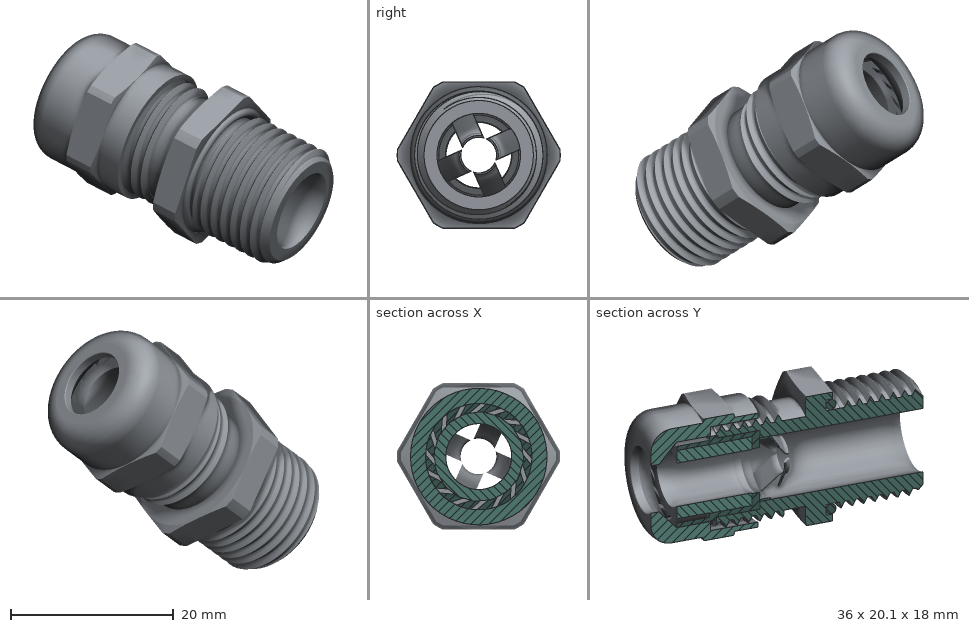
import cadquery as cq
import math


total_length = 35.95
thread_rise = 9.0
thread_pitch = thread_rise / 6
thread_half_angle = 30.0
thread_crest_width = 0.05
thread_root_sink = 0.1
thread_margin = 2.0

nut_length = 14.17
nut_diameter = 16.85
dome_radius = 2.77
nut_hex_start = 6.85
nut_hex_length = 4.28
nut_hex_flats = 17.0
nut_hex_corners = 19.1
nut_hex_bevel = 0.32
lip_diameter = 8.5
lip_length = 1.15
lip_chamfer = 0.07
nut_thread_start = 7.9

body_front = 8.63
front_neck_diameter = 13.65
front_crest_diameter = 15.4
front_thread_end = 17.65
front_thread_phase = 15.25
hex_start = 20.43
hex_length = 3.6
hex_end = hex_start + hex_length
hex_flats = 18.0
hex_corners = 20.05
hex_bevel = 0.25
rear_neck_diameter = 14.2
rear_crest_diameter = 15.8
rear_thread_start = 24.95
rear_thread_phase = 25.95
rear_end_diameter = 13.45
rear_bore_diameter = 10.3

cage_front = 3.4
cage_back = 14.4
cage_diameter = 12.2
cage_head_diameter = lip_diameter + 2 * (cage_front - lip_length)
cage_shoulder_diameter = 8.2
cage_shoulder_length = 1.08
slit_count = 16
slit_width = 0.5
slit_length = 4.3
slit_reach = 4.3
slit_slant = 50.0
seal_diameter = 10.93
seal_bore_diameter = 8.05
seal_back = cage_back - cage_shoulder_length

spring_sheet = 0.2
spring_ring_length = 1.45
tongue_count = 4
tongue_width = 2.85
tongue_slope = 51.0
tongue_turn = 24.0
tongue_bend_radius = 2.55
tongue_tip_radius = 2.2

o_ring_diameter = nut_diameter
o_ring_section = (o_ring_diameter - rear_neck_diameter) / 2
o_ring_end = 24.5
o_ring_centre = o_ring_end - o_ring_section / 2
groove_start = o_ring_end - o_ring_section


def revolve_about_x(outline):
    """Solid of revolution about the X axis from a closed outline of (x, radius)."""
    return outline.close().revolve(360, (0, 0, 0), (1, 0, 0))


def turned(points):
    """Solid of revolution about the X axis from straight-sided (x, radius) points."""
    return revolve_about_x(cq.Workplane("XY").polyline(points))


def rod(start, end, diameter):
    """Cylinder along X from start to end."""
    return cq.Workplane("YZ").workplane(offset=start).circle(diameter / 2).extrude(end - start)


def tube(start, end, outer_diameter, inner_diameter):
    """Hollow cylinder along X from start to end."""
    return rod(start, end, outer_diameter).cut(rod(start, end, inner_diameter))


def hexagon(start, end, flats, corners, bevel, bevel_root, bevel_both_ends):
    """Hexagonal prism with flats at +Z and -Z, rounded corners and conical end bevels."""
    tip_diameter = flats / math.cos(math.pi / 6)
    prism = cq.Workplane("YZ").workplane(offset=start).polygon(6, tip_diameter).extrude(end - start)
    envelope = [(start, 0), (start, bevel_root / 2), (start + bevel, corners / 2)]
    if bevel_both_ends:
        envelope += [(end - bevel, corners / 2), (end, bevel_root / 2), (end, 0)]
    else:
        envelope += [(end, corners / 2), (end, 0)]
    return prism.intersect(turned(envelope))


def helix(radius, axial_offset, height):
    """Right-handed helix about +Z whose first point lies on +X."""
    return cq.Wire.makeHelix(thread_pitch, height, radius).translate(cq.Vector(0, 0, axial_offset))


def thread_rib(start, end, root_diameter, crest_diameter, phase):
    """Right-handed helical rib along X, wider at its foot, running past start and end."""
    root = root_diameter / 2 - thread_root_sink
    crest = crest_diameter / 2
    half_crest = thread_crest_width / 2
    half_foot = half_crest + (crest - root) * math.tan(math.radians(thread_half_angle))
    first = phase - math.ceil((phase - start) / thread_pitch + thread_margin) * thread_pitch
    height = end + thread_margin * thread_pitch - first

    corners = [(root, -half_foot), (root, half_foot), (crest, half_crest), (crest, -half_crest)]
    rails = [helix(radius, offset, height) for radius, offset in corners]
    sides = []
    for rail, next_rail in zip(rails, rails[1:] + rails[:1]):
        sides += cq.Face.makeRuledSurface(rail, next_rail).Faces()
    ends = []
    for point_of in (cq.Wire.startPoint, cq.Wire.endPoint):
        outline = cq.Wire.makePolygon([point_of(rail) for rail in rails], close=True)
        ends.append(cq.Face.makeFromWires(outline))
    rib = cq.Workplane(obj=cq.Solid.makeSolid(cq.Shell.makeShell(sides + ends)))

    rib = rib.rotate((0, 0, 0), (0, 1, 0), 90).rotate((0, 0, 0), (1, 0, 0), 180)
    return rib.translate((first, 0, 0))


def make_nut():
    dome = revolve_about_x(
        cq.Workplane("XY")
        .moveTo(0, 0)
        .lineTo(0, nut_diameter / 2 - dome_radius)
        .radiusArc((dome_radius, nut_diameter / 2), dome_radius)
        .lineTo(nut_length, nut_diameter / 2)
        .lineTo(nut_length, 0)
    )
    grip = hexagon(
        nut_hex_start, nut_hex_start + nut_hex_length, nut_hex_flats, nut_hex_corners,
        nut_hex_bevel, nut_diameter, True,
    )
    cavity = turned([
        (0, 0),
        (0, lip_diameter / 2 + lip_chamfer),
        (lip_chamfer, lip_diameter / 2),
        (lip_length, lip_diameter / 2),
        (cage_front, cage_head_diameter / 2),
        (nut_thread_start, cage_head_diameter / 2),
        (nut_thread_start, front_crest_diameter / 2),
        (nut_length, front_crest_diameter / 2),
        (nut_length, 0),
    ])
    return dome.union(grip).cut(cavity)


def make_front_neck():
    """Neck from the body's front end to the hexagon, with the thread that takes the nut."""
    rib = thread_rib(
        body_front, front_thread_end, front_neck_diameter, front_crest_diameter, front_thread_phase
    )
    neck = rod(body_front, hex_start, front_neck_diameter)
    return neck.union(rib.intersect(rod(body_front, front_thread_end, hex_corners)))


def make_rear_neck():
    """Neck from the hexagon to the rear end, with the connection thread and its lead-in."""
    rib = thread_rib(
        rear_thread_start, total_length, rear_neck_diameter, rear_crest_diameter, rear_thread_phase
    )
    neck = rod(hex_end, total_length, rear_neck_diameter)
    neck = neck.union(rib.intersect(rod(rear_thread_start, total_length, hex_corners)))
    lead_in = (hex_corners - rear_end_diameter) / 2
    lead_in_ring = turned([
        (total_length, rear_end_diameter / 2),
        (total_length, hex_corners / 2),
        (total_length - lead_in, hex_corners / 2),
    ])
    return neck.cut(lead_in_ring)


def make_body():
    grip = hexagon(hex_start, hex_end, hex_flats, hex_corners, hex_bevel, hex_flats, False)
    o_ring_groove = tube(groove_start, hex_end, o_ring_diameter, rear_neck_diameter)
    outside = grip.cut(o_ring_groove).union(make_front_neck()).union(make_rear_neck())
    cage_seat = rod(body_front, cage_back, cage_diameter)
    rear_bore = rod(cage_back, total_length, rear_bore_diameter)
    return outside.cut(cage_seat).cut(rear_bore)


def make_cage():
    head = tube(cage_front, body_front, cage_head_diameter, seal_diameter)
    sleeve = tube(body_front, seal_back, cage_diameter, seal_diameter)
    shoulder = tube(seal_back, cage_back, cage_diameter, cage_shoulder_diameter)
    cage = head.union(sleeve).union(shoulder)
    wall_middle = (cage_head_diameter + seal_diameter) / 4
    slit = (
        cq.Workplane("XY")
        .box(slit_length, slit_width, slit_reach, centered=(False, True, True))
        .rotate((0, 0, 0), (1, 0, 0), slit_slant)
        .translate((cage_front, 0, wall_middle))
    )
    for i in range(slit_count):
        cage = cage.cut(slit.rotate((0, 0, 0), (1, 0, 0), i * 360 / slit_count))
    return cage


def make_seal():
    return tube(cage_front, seal_back, seal_diameter, seal_bore_diameter)


def make_spring():
    ring_end = cage_back + spring_ring_length
    ring_inner_diameter = rear_bore_diameter - 2 * spring_sheet
    ring = tube(cage_back, ring_end, rear_bore_diameter, ring_inner_diameter)

    slope = math.radians(tongue_slope)
    curl_radius = (tongue_bend_radius - tongue_tip_radius) / (1 - math.cos(slope))
    bend_x = ring_end + (ring_inner_diameter / 2 - tongue_bend_radius) / math.tan(slope)
    tip_x = bend_x + curl_radius * math.sin(slope)
    back_curl_radius = curl_radius - spring_sheet
    back_bend_x = tip_x - back_curl_radius * math.sin(slope)
    back_bend_radius = tongue_tip_radius + curl_radius - back_curl_radius * math.cos(slope)
    back_start_x = back_bend_x - (rear_bore_diameter / 2 - back_bend_radius) / math.tan(slope)
    funnel = revolve_about_x(
        cq.Workplane("XY")
        .moveTo(ring_end, ring_inner_diameter / 2)
        .lineTo(bend_x, tongue_bend_radius)
        .radiusArc((tip_x, tongue_tip_radius), -curl_radius)
        .lineTo(tip_x, tongue_tip_radius + spring_sheet)
        .radiusArc((back_bend_x, back_bend_radius), back_curl_radius)
        .lineTo(back_start_x, rear_bore_diameter / 2)
        .lineTo(ring_end, rear_bore_diameter / 2)
    )
    strip = cq.Workplane("XY").box(
        total_length, tongue_width, rear_bore_diameter, centered=(False, True, False)
    )
    spring = ring
    for i in range(tongue_count):
        turn = tongue_turn + i * 360 / tongue_count
        spring = spring.union(funnel.intersect(strip.rotate((0, 0, 0), (1, 0, 0), turn)))
    return spring


def make_o_ring():
    section_radius = o_ring_section / 2
    centre_radius = o_ring_diameter / 2 - section_radius
    ring = cq.Solid.makeTorus(
        centre_radius, section_radius, cq.Vector(o_ring_centre, 0, 0), cq.Vector(1, 0, 0)
    )
    return cq.Workplane(obj=ring)


nut = make_nut()
body = make_body()
cage = make_cage()
seal = make_seal()
spring = make_spring()
o_ring = make_o_ring()

result = cq.Compound.makeCompound(
    [nut.val(), body.val(), cage.val(), seal.val(), spring.val(), o_ring.val()]
)